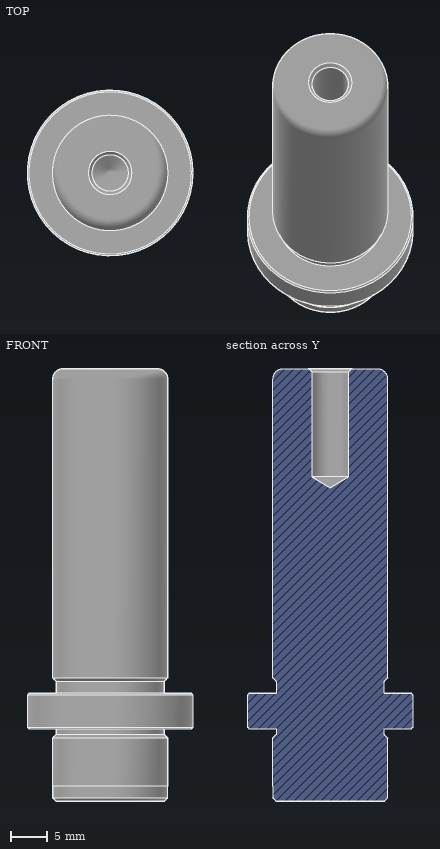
import cadquery as cq
import math

total_height = 60.0
pin_diameter = 16.0
pin_radius = pin_diameter / 2
tip_fillet = 1.5

flange_diameter = 23.0
flange_radius = flange_diameter / 2
flange_bottom = 10.0
flange_thickness = 5.0
flange_chamfer = 0.25
flange_top = flange_bottom + flange_thickness

neck_radius = 7.5
shoulder_size = pin_radius - neck_radius
lower_neck_height = 0.7
upper_neck_height = 1.6
lower_neck_bottom = flange_bottom - lower_neck_height
upper_neck_top = flange_top + upper_neck_height

lead_diameter = 15.95
lead_radius = lead_diameter / 2
lead_height = 2.15
foot_chamfer = 0.5

hole_radius = 2.5
hole_depth = 15.0
mouth_chamfer = 0.5
drill_point_angle = 118.0
drill_point_height = hole_radius / math.tan(math.radians(drill_point_angle / 2))
hole_bottom = total_height - hole_depth

arc_mid_offset = tip_fillet * math.sqrt(0.5)
arc_center_radius = pin_radius - tip_fillet
arc_center_height = total_height - tip_fillet


def make_body():
    """Revolve the outer half-profile, drawn as radius and height."""
    profile = (
        cq.Workplane("XZ")
        .moveTo(0, 0)
        .lineTo(lead_radius - foot_chamfer, 0)
        .lineTo(lead_radius, foot_chamfer)
        .lineTo(lead_radius, lead_height)
        .lineTo(pin_radius, lead_height)
        .lineTo(pin_radius, lower_neck_bottom - shoulder_size)
        .lineTo(neck_radius, lower_neck_bottom)
        .lineTo(neck_radius, flange_bottom)
        .lineTo(flange_radius - flange_chamfer, flange_bottom)
        .lineTo(flange_radius, flange_bottom + flange_chamfer)
        .lineTo(flange_radius, flange_top - flange_chamfer)
        .lineTo(flange_radius - flange_chamfer, flange_top)
        .lineTo(neck_radius, flange_top)
        .lineTo(neck_radius, upper_neck_top)
        .lineTo(pin_radius, upper_neck_top + shoulder_size)
        .lineTo(pin_radius, arc_center_height)
        .threePointArc(
            (arc_center_radius + arc_mid_offset, arc_center_height + arc_mid_offset),
            (arc_center_radius, total_height),
        )
        .lineTo(0, total_height)
        .close()
    )
    return profile.revolve(360, (0, 0, 0), (0, 1, 0))


def make_hole():
    """Revolve the hole half-profile, from the drill point up to the mouth."""
    profile = (
        cq.Workplane("XZ")
        .moveTo(0, hole_bottom - drill_point_height)
        .lineTo(hole_radius, hole_bottom)
        .lineTo(hole_radius, total_height - mouth_chamfer)
        .lineTo(hole_radius + mouth_chamfer, total_height)
        .lineTo(0, total_height)
        .close()
    )
    return profile.revolve(360, (0, 0, 0), (0, 1, 0))


result = make_body().cut(make_hole())